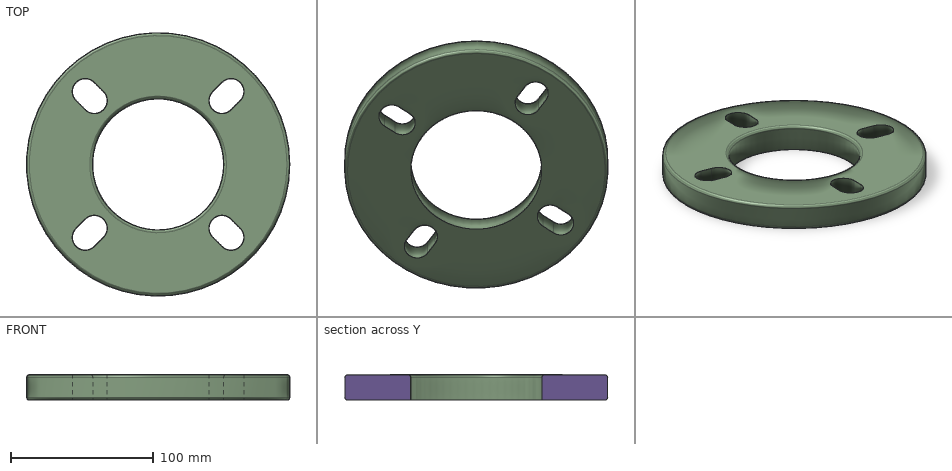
import cadquery as cq

outer_diameter = 185.0
bore_diameter = 92.0
thickness = 18.0
edge_radius = 2.0

slot_count = 4
first_slot_angle = 45.0
slot_center_radius = 67.9
slot_width = 18.0
slot_length = 27.0


def make_ring():
    """Flat ring with rounded edges; the bottom edge of the bore stays sharp."""
    ring = cq.Workplane("XY").circle(outer_diameter / 2).circle(bore_diameter / 2).extrude(thickness)
    ring = ring.faces(">Z").edges().fillet(edge_radius)
    return ring.faces("<Z").edges(cq.selectors.RadiusNthSelector(-1)).fillet(edge_radius)


def make_slots():
    """Through-cutters whose long sides point toward the ring axis."""
    return (
        cq.Workplane("XY")
        .polarArray(slot_center_radius, first_slot_angle, 360, slot_count)
        .slot2D(slot_length, slot_width)
        .extrude(thickness)
    )


result = make_ring().cut(make_slots())